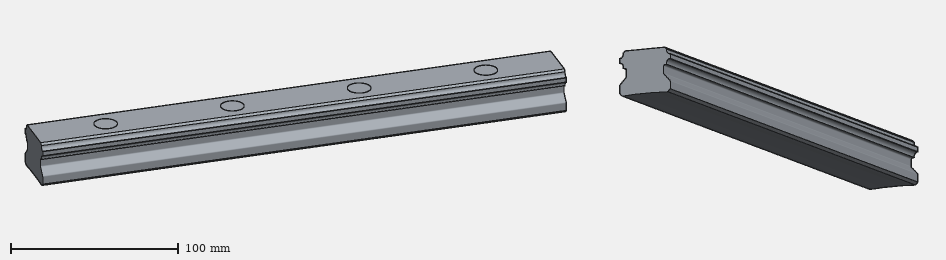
import cadquery as cq

LENGTH = 330.0
WIDTH = 34.0
HEIGHT = 27.5

HALF_WIDTH = WIDTH / 2
WAIST_HALF_WIDTH = 12.5
SHOULDER_HALF_WIDTH = 14.5
LIP_LAND = 0.5

FOOT_TOP = 6.5
WAIST_BOTTOM = 11.2
WAIST_TOP = 16.5
SHOULDER_BOTTOM = 16.8
LIP_BOTTOM = 20.0
LIP_TOP = 23.0
SHOULDER_TOP = 26.0

BOTTOM_CHAMFER = 1.5
FOOT_RADIUS = 1.0
WAIST_RADIUS = 1.0
RACEWAY_BULGE = 0.5
TOP_CHAMFER = HEIGHT - SHOULDER_TOP

RELIEF_WIDTH = 23.8
RELIEF_FLOOR_WIDTH = 14.0
RELIEF_DEPTH = 0.3

CAP_COUNT = 4
CAP_PITCH = 80.0
CAP_DIAMETER = 14.2
CAP_RECESS = 0.15


def half_section():
    """Closed +X half of the rail section, drawn upwards from the bottom face."""
    lip_root = HALF_WIDTH - LIP_LAND
    return (
        cq.Workplane("XZ", origin=(0, LENGTH / 2, 0))
        .moveTo(0, RELIEF_DEPTH)
        .lineTo(RELIEF_FLOOR_WIDTH / 2, RELIEF_DEPTH)
        .lineTo(RELIEF_WIDTH / 2, 0)
        .lineTo(HALF_WIDTH - BOTTOM_CHAMFER, 0)
        .lineTo(HALF_WIDTH, BOTTOM_CHAMFER)
        .lineTo(HALF_WIDTH, FOOT_TOP)
        .lineTo(WAIST_HALF_WIDTH, WAIST_BOTTOM)
        .lineTo(WAIST_HALF_WIDTH, WAIST_TOP)
        .lineTo(SHOULDER_HALF_WIDTH, SHOULDER_BOTTOM)
        .sagittaArc((lip_root, LIP_BOTTOM), RACEWAY_BULGE)
        .lineTo(HALF_WIDTH, LIP_BOTTOM)
        .lineTo(HALF_WIDTH, LIP_TOP)
        .lineTo(lip_root, LIP_TOP)
        .sagittaArc((SHOULDER_HALF_WIDTH, SHOULDER_TOP), RACEWAY_BULGE)
        .lineTo(SHOULDER_HALF_WIDTH - TOP_CHAMFER, HEIGHT)
        .lineTo(0, HEIGHT)
        .close()
    )


def round_corner(body, x, z, radius):
    """Fillet the lengthwise edge that passes through corner (x, z) of the section."""
    edge = cq.selectors.NearestToPointSelector((x, 0, z))
    return body.edges(edge).fillet(radius)


def make_rail():
    """Full-length rail: the rounded half bar joined to its mirror image."""
    half_rail = half_section().extrude(LENGTH)
    half_rail = round_corner(half_rail, HALF_WIDTH, FOOT_TOP, FOOT_RADIUS)
    for waist_end in (WAIST_BOTTOM, WAIST_TOP):
        half_rail = round_corner(half_rail, WAIST_HALF_WIDTH, waist_end, WAIST_RADIUS)
    return half_rail.union(half_rail.mirror("YZ")).clean()


def cap_recesses():
    """Shallow discs in the top face, one above each mounting hole."""
    return (
        cq.Workplane("XY", origin=(0, 0, HEIGHT))
        .rarray(3.3, CAP_PITCH, 1, CAP_COUNT)
        .circle(CAP_DIAMETER / 2)
        .extrude(-CAP_RECESS)
    )


result = make_rail().cut(cap_recesses()).solids()